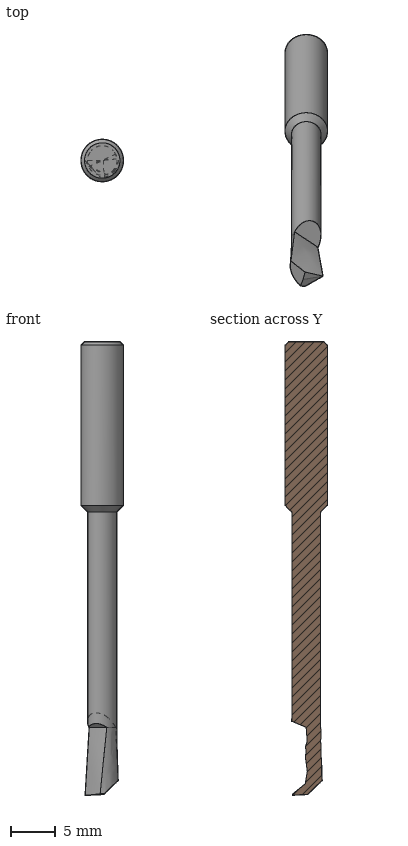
import cadquery as cq
import math

total_length = 50.8
shank_radius = 2.4
shank_bottom = 32.45
shank_chamfer = 0.4
neck_radius = 1.65
shoulder_height = shank_radius - neck_radius

head_length = 7.6
head_top_radius = neck_radius
tip_radius = 1.9
top_edge = (-1.45, -0.65)
top_heel_x = 0.5
top_back_y = 0.7
tip_edge = (-1.95, 0.0)
tip_heel_x = -0.25
tip_back_y = 0.05

roof_height = 2.05
roof_angle = 45.0
roof_reach = 3.0
bevel_start = (0.15, 0.1)
bevel_end = (1.9, 1.8)
relief_rise = 0.2
cutter_margin = 5.1


def head_corners(edge, heel_x, back_y, radius):
    """Cutting edge, heel and back corner; the last two lie on the round side."""
    heel = (heel_x, -math.sqrt(radius**2 - heel_x**2))
    back = (math.sqrt(radius**2 - back_y**2), back_y)
    return edge, heel, back


top_corners = head_corners(top_edge, top_heel_x, top_back_y, head_top_radius)
tip_corners = head_corners(tip_edge, tip_heel_x, tip_back_y, tip_radius)


def make_shank():
    """Revolved shank with a chamfered end and a conical shoulder."""
    return (
        cq.Workplane("XZ")
        .moveTo(0, head_length + roof_height)
        .lineTo(neck_radius, head_length + roof_height)
        .lineTo(neck_radius, shank_bottom - shoulder_height)
        .lineTo(shank_radius, shank_bottom)
        .lineTo(shank_radius, total_length - shank_chamfer)
        .lineTo(shank_radius - shank_chamfer, total_length)
        .lineTo(0, total_length)
        .close()
        .revolve(360, (0, 0, 0), (0, 1, 0))
    )


def make_transition():
    """Neck end with sloping roofs above both ground faces of the head."""
    edge, heel, back = top_corners

    def extend(corner):
        return tuple(e + roof_reach * (c - e) for e, c in zip(edge, corner))

    flare = (
        cq.Workplane("XY", origin=(0, 0, head_length))
        .polyline([edge, extend(heel), extend(back)])
        .close()
        .extrude(roof_height, taper=-roof_angle)
    )
    neck_end = (
        cq.Workplane("XY", origin=(0, 0, head_length))
        .circle(neck_radius)
        .extrude(roof_height)
    )
    return neck_end.intersect(flare)


def head_wire(corners, radius, height):
    """Section with two straight ground sides and one round side."""
    edge, heel, back = corners
    middle_angle = (math.atan2(heel[1], heel[0]) + math.atan2(back[1], back[0])) / 2
    middle = (radius * math.cos(middle_angle), radius * math.sin(middle_angle))
    return (
        cq.Workplane("XY", origin=(0, 0, height))
        .moveTo(*edge)
        .lineTo(*heel)
        .threePointArc(middle, back)
        .close()
        .val()
    )


def make_head():
    """Twisting, widening head with a bevelled corner and a relieved end."""
    tip = head_wire(tip_corners, tip_radius, 0)
    top = head_wire(top_corners, head_top_radius, head_length)
    head = cq.Workplane(cq.Solid.makeLoft([tip, top], True))
    bevel = (
        cq.Workplane("XZ")
        .polyline([
            tip_edge,
            bevel_start,
            bevel_end,
            (cutter_margin, bevel_end[1]),
            (cutter_margin, -cutter_margin),
            (tip_edge[0], -cutter_margin),
        ])
        .close()
        .extrude(cutter_margin, both=True)
    )
    relief = (
        cq.Workplane("YZ")
        .polyline([(0, 0), (-tip_radius, relief_rise), (-tip_radius, 0)])
        .close()
        .extrude(cutter_margin, both=True)
    )
    return head.cut(bevel).cut(relief)


result = make_shank().union(make_transition()).union(make_head())